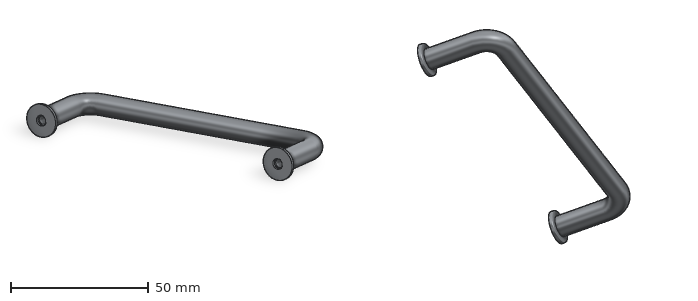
import cadquery as cq
import math

overall_length = 114.5
overall_height = 33.0

bar_diameter = 8.0
bend_radius = 8.0

flange_diameter = 12.5
flange_thickness = 1.5
flange_rounding = 0.5

hole_diameter = 3.2
mouth_diameter = 4.0
mouth_depth = 1.0
hole_depth = 10.0
drill_point_angle = 120.0

leg_x = (overall_length - flange_diameter) / 2
grip_y = overall_height - bar_diameter / 2
bend_start_y = grip_y - bend_radius
bend_end_x = leg_x - bend_radius
bend_diagonal = bend_radius * math.sqrt(0.5)


def make_bar():
    """Round bar swept along a U-shaped centreline, feet on the plane Y = 0."""
    path = (
        cq.Workplane("XY")
        .moveTo(-leg_x, 0)
        .lineTo(-leg_x, bend_start_y)
        .threePointArc(
            (-bend_end_x - bend_diagonal, bend_start_y + bend_diagonal),
            (-bend_end_x, grip_y),
        )
        .lineTo(bend_end_x, grip_y)
        .threePointArc(
            (bend_end_x + bend_diagonal, bend_start_y + bend_diagonal),
            (leg_x, bend_start_y),
        )
        .lineTo(leg_x, 0)
    )
    section = cq.Workplane("XZ", origin=(-leg_x, 0, 0)).circle(bar_diameter / 2)
    return section.sweep(path)


def make_flange(x):
    """Disc at the foot of a leg, rounded on the edge facing the grip."""
    return (
        cq.Workplane("XZ", origin=(x, 0, 0))
        .circle(flange_diameter / 2)
        .extrude(-flange_thickness)
        .faces(">Y")
        .edges()
        .fillet(flange_rounding)
    )


def make_hole(x):
    """Blind hole with a wider mouth; the step and the hole end are drill cones."""
    radius = hole_diameter / 2
    mouth_radius = mouth_diameter / 2
    cone_slope = 1 / math.tan(math.radians(drill_point_angle / 2))
    step_depth = (mouth_radius - radius) * cone_slope
    point_depth = radius * cone_slope
    half_profile = [
        (0, 0),
        (mouth_radius, 0),
        (mouth_radius, mouth_depth),
        (radius, mouth_depth + step_depth),
        (radius, hole_depth),
        (0, hole_depth + point_depth),
    ]
    return (
        cq.Workplane("XY", origin=(x, 0, 0))
        .polyline(half_profile)
        .close()
        .revolve(360, (0, 0, 0), (0, 1, 0))
    )


result = make_bar()
for foot_x in (-leg_x, leg_x):
    result = result.union(make_flange(foot_x)).cut(make_hole(foot_x))